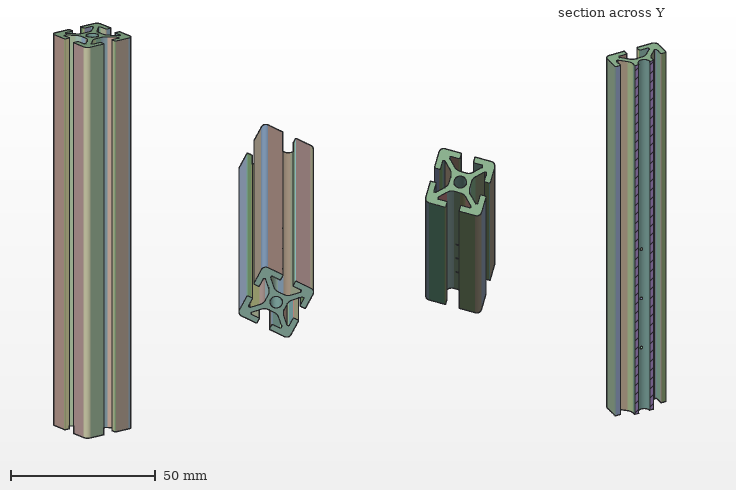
import cadquery as cq

side = 20.0
length = 142.3
corner_radius = 1.7

slot_opening = 4.8
lip_thickness = 2.1
lip_edge_radius = 0.3
pocket_width = 11.7
pocket_corner_radius = 0.3
floor_distance = 3.7
floor_blend_radius = 3.1
web_thickness = 1.9

bore_diameter = 4.3
cross_hole_diameter = 1.0
cross_hole_pitch = 20.0
cross_hole_count = 3
lowest_cross_hole = 25.0

tolerance = 0.001

half_side = side / 2
half_pocket = pocket_width / 2
lip_inner = half_side - lip_thickness

web_offset = web_thickness / 2 * 2**0.5
half_floor = floor_distance - web_offset
pocket_wall_start = half_pocket + web_offset


def make_slot():
    """Slot cutter for the +Y side: a flared pocket plus its narrow opening."""
    pocket = (
        cq.Workplane("XY")
        .polyline([
            (-half_floor, floor_distance),
            (half_floor, floor_distance),
            (half_pocket, pocket_wall_start),
            (half_pocket, lip_inner),
            (-half_pocket, lip_inner),
            (-half_pocket, pocket_wall_start),
        ])
        .close()
        .extrude(length)
    )
    pocket = pocket.edges("|Z").edges("<Y").fillet(floor_blend_radius)
    pocket = pocket.edges("|Z").edges(">Y").fillet(pocket_corner_radius)
    opening = (
        cq.Workplane("XY")
        .center(0, lip_inner + lip_thickness / 2)
        .rect(slot_opening, lip_thickness)
        .extrude(length)
    )
    return pocket.union(opening)


def is_lip_edge(edge):
    """True for the lengthwise edges at the tips of the slot lips."""
    center = edge.Center()
    across, outward = sorted((abs(center.x), abs(center.y)))
    at_tip = abs(across - slot_opening / 2) < tolerance
    return at_tip and outward > lip_inner - tolerance


result = cq.Workplane("XY").rect(side, side).extrude(length)
result = result.edges("|Z").fillet(corner_radius)

slot = make_slot()
for quarter_turn in range(4):
    result = result.cut(slot.rotate((0, 0, 0), (0, 0, 1), 90 * quarter_turn))

lip_edges = [edge for edge in result.edges("|Z").vals() if is_lip_edge(edge)]
result = result.newObject(lip_edges).fillet(lip_edge_radius)

bore = cq.Workplane("XY").circle(bore_diameter / 2).extrude(length)
result = result.cut(bore)

for index in range(cross_hole_count):
    height = lowest_cross_hole + index * cross_hole_pitch
    cross_hole = (
        cq.Workplane("XZ")
        .center(0, height)
        .circle(cross_hole_diameter / 2)
        .extrude(half_side, both=True)
    )
    result = result.cut(cross_hole)